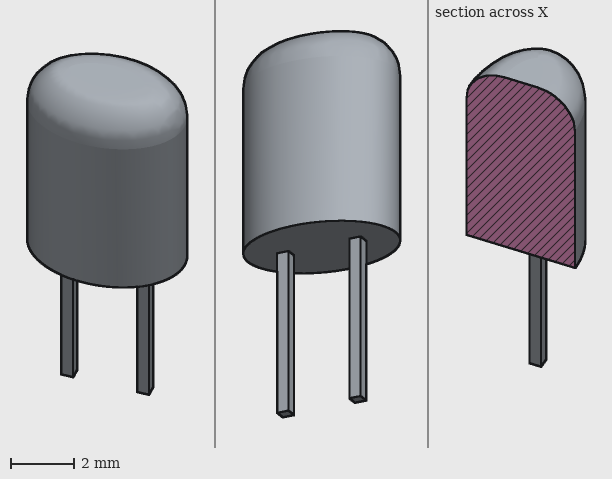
import cadquery as cq

body_width = 5.2
body_depth = 3.8
body_height = 7.0
dome_radius = 1.33

lead_pitch = 2.54
lead_size = 0.4
lead_length = 5.5


def make_body():
    """Elliptical cylinder with its top edge rounded, leaving a small flat on top."""
    body = cq.Workplane("XY").ellipse(body_width / 2, body_depth / 2).extrude(body_height)
    return body.faces(">Z").edges().fillet(dome_radius)


def make_leads():
    """Pair of square leads hanging from the underside of the body."""
    return (
        cq.Workplane("XY")
        .rarray(lead_pitch, 1, 2, 1)
        .rect(lead_size, lead_size)
        .extrude(-lead_length)
    )


result = make_body().union(make_leads())